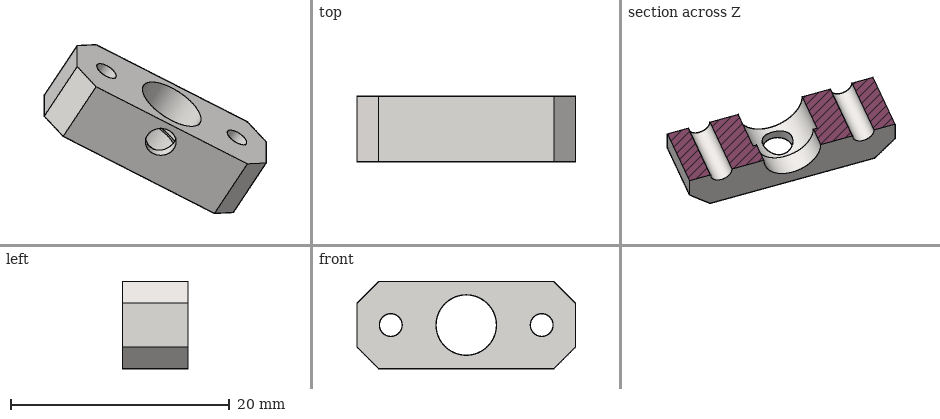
import cadquery as cq

length = 20.0
depth = 6.0
height = 8.0
corner_chamfer = 2.0

bore_diameter = 5.5
bore_depth = 2.0
counterbore_diameter = 6.2

screw_hole_diameter = 2.05
screw_hole_spacing = 13.8

bottom_hole_diameter = 2.8

front_y = -depth / 2
step_y = front_y + bore_depth
bottom_hole_y = (step_y + depth / 2) / 2


def cylinder_along_y(diameter, start_y, end_y, x=0.0):
    """Cylinder with its axis along Y at the given X, at mid height."""
    return cq.Workplane(
        cq.Solid.makeCylinder(
            diameter / 2, end_y - start_y, cq.Vector(x, start_y, 0), cq.Vector(0, 1, 0)
        )
    )


block = cq.Workplane("XY").box(length, depth, height).edges("|Y").chamfer(corner_chamfer)

bore = cylinder_along_y(bore_diameter, front_y, step_y)
counterbore = cylinder_along_y(counterbore_diameter, step_y, depth / 2)

bottom_hole = (
    cq.Workplane("XY", origin=(0, bottom_hole_y, -height / 2))
    .circle(bottom_hole_diameter / 2)
    .extrude(height / 2)
)

result = block.cut(bore).cut(counterbore).cut(bottom_hole)
for side in (-1, 1):
    screw_hole_x = side * screw_hole_spacing / 2
    result = result.cut(cylinder_along_y(screw_hole_diameter, front_y, depth / 2, screw_hole_x))